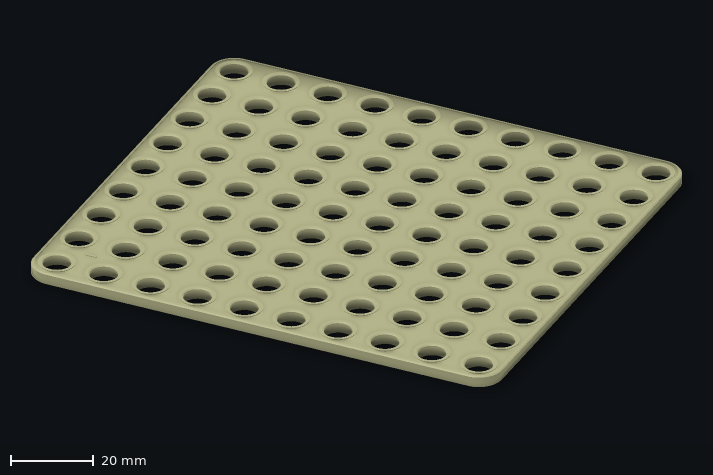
import cadquery as cq

pitch = 12.5
columns = 10
rows = 9
hole_diameter = 7.0
hole_chamfer = 0.3

length = columns * pitch
width = rows * pitch
thickness = pitch / 4
corner_radius = pitch / 2
edge_chamfer = 0.3
top_z = thickness / 2

recess_depth = 0.2
rim_width = 0.8
ring_diameter = 9.2
marker_length = 2.8
marker_width = 0.6

marker_x = -length / 2 + pitch
marker_y = -width / 2 + pitch


def rounded_slab(inset, bottom_z, height):
    """Slab following the plate outline, moved inwards by the inset."""
    slab = (
        cq.Workplane("XY")
        .workplane(offset=bottom_z)
        .rect(length - 2 * inset, width - 2 * inset)
        .extrude(height)
    )
    return slab.edges("|Z").fillet(corner_radius - inset)


def hole_grid(z):
    """Workplane at the given height with a point at every hole centre."""
    return cq.Workplane("XY").workplane(offset=z).rarray(pitch, pitch, columns, rows)


def make_plate():
    """Rounded plate with its top and bottom edges chamfered."""
    plate = rounded_slab(0, -top_z, thickness)
    return plate.faces("<Z or >Z").edges().chamfer(edge_chamfer)


def make_recess():
    """Volume removed from the top face, with gaps where the rings and marker stay raised."""
    floor_z = top_z - recess_depth
    rings = hole_grid(floor_z).circle(ring_diameter / 2).extrude(recess_depth)
    marker = (
        cq.Workplane("XY")
        .workplane(offset=floor_z)
        .center(marker_x, marker_y)
        .rect(marker_length, marker_width)
        .extrude(recess_depth)
    )
    return rounded_slab(rim_width, floor_z, recess_depth).cut(rings).cut(marker)


def make_holes():
    """Through holes chamfered at both ends: one profile revolved about Z, copied over the grid."""
    hole_radius = hole_diameter / 2
    mouth_radius = hole_radius + hole_chamfer
    bore_end_z = top_z - hole_chamfer
    profile = (
        cq.Workplane("XZ")
        .moveTo(0, -top_z)
        .lineTo(mouth_radius, -top_z)
        .lineTo(hole_radius, -bore_end_z)
        .lineTo(hole_radius, bore_end_z)
        .lineTo(mouth_radius, top_z)
        .lineTo(0, top_z)
        .close()
    )
    hole = profile.revolve(360, (0, 0, 0), (0, 1, 0)).val()
    return hole_grid(0).eachpoint(lambda location: hole.moved(location))


result = make_plate().cut(make_recess()).cut(make_holes())